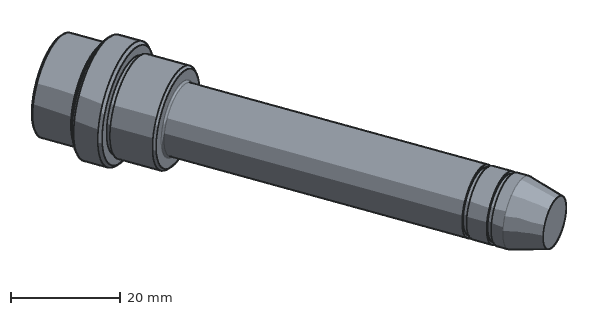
import cadquery as cq
import math

total_length = 101.0

head_diameter = 20.0
head_length = 25.0
head_front_chamfer = 0.4
head_rear_chamfer = 0.5
collar_diameter = 24.0
collar_start = 9.0
collar_end = 15.0
collar_chamfer = 0.6

relief_width = 0.9
relief_depth = 0.5

shank_diameter = 14.0
root_fillet = 0.4
tip_length = 7.3
tip_half_angle = 15.0

ring_groove_starts = (85.5, 90.5)
ring_groove_width = 0.9
ring_groove_depth = 0.5


def cylinder(start, end, diameter):
    """Solid cylinder along X between two stations."""
    return cq.Workplane("YZ").workplane(offset=start).circle(diameter / 2).extrude(end - start)


def ring_groove(start, width, outer_diameter, depth):
    """Ring to cut from a cylinder, leaving a square groove."""
    core_diameter = outer_diameter - 2 * depth
    return cylinder(start, start + width, outer_diameter).cut(cylinder(start, start + width, core_diameter))


head = cylinder(0, head_length, head_diameter)
head = head.faces("<X").chamfer(head_front_chamfer)
head = head.faces(">X").chamfer(head_rear_chamfer)
for start in (collar_start - relief_width, collar_end):
    head = head.cut(ring_groove(start, relief_width, head_diameter, relief_depth))

collar = cylinder(collar_start, collar_end, collar_diameter).faces("<X or >X").chamfer(collar_chamfer)

shank_radius = shank_diameter / 2
tip_start = total_length - tip_length
tip_radius = shank_radius - tip_length * math.tan(math.radians(tip_half_angle))
fillet_middle = root_fillet * (1 - math.sqrt(0.5))
shank = (
    cq.Workplane("XY")
    .moveTo(collar_end, 0)
    .lineTo(collar_end, shank_radius)
    .lineTo(head_length, shank_radius)
    .lineTo(head_length, shank_radius + root_fillet)
    .threePointArc(
        (head_length + fillet_middle, shank_radius + fillet_middle),
        (head_length + root_fillet, shank_radius),
    )
    .lineTo(tip_start, shank_radius)
    .lineTo(total_length, tip_radius)
    .lineTo(total_length, 0)
    .close()
    .revolve(360, (0, 0, 0), (1, 0, 0))
)
for start in ring_groove_starts:
    shank = shank.cut(ring_groove(start, ring_groove_width, shank_diameter, ring_groove_depth))

result = head.union(collar).union(shank)